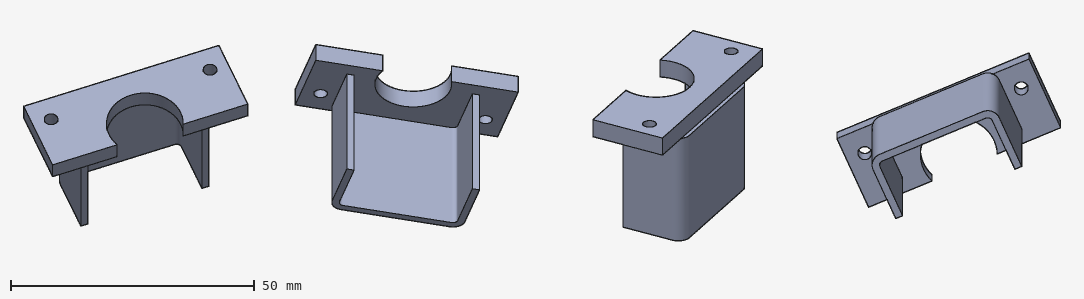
import cadquery as cq

plate_length = 43
plate_thickness = 4.0
total_height = 28.0
total_depth = 17.1
plate_setback = 0.85

housing_width = 28.2
housing_depth = 14.1
corner_radius = 2.6
wall = 1.55
inner_corner_radius = corner_radius - wall
housing_height = total_height - plate_thickness

bore_diameter = 15.75
bore_x = housing_depth
screw_diameter = 2.8
screw_spacing = 35.0
screw_x = 6.05


def rounded_back_block(back_x, width, radius):
    """Full-height housing block with its two back vertical edges rounded."""
    depth = housing_depth - back_x
    return (
        cq.Workplane("XY")
        .box(depth, width, housing_height, centered=(False, True, False))
        .translate((back_x, 0, 0))
        .edges("|Z and <X")
        .fillet(radius)
    )


outer_block = rounded_back_block(0, housing_width, corner_radius)
cavity = rounded_back_block(wall, housing_width - 2 * wall, inner_corner_radius)
housing = outer_block.cut(cavity)

plate = (
    cq.Workplane("XY", origin=(plate_setback, 0, housing_height))
    .box(total_depth - plate_setback, plate_length, plate_thickness, centered=(False, True, False))
)
bore = (
    cq.Workplane("XY", origin=(bore_x, 0, housing_height))
    .circle(bore_diameter / 2)
    .extrude(plate_thickness)
)
screw_holes = (
    cq.Workplane("XY", origin=(screw_x, 0, housing_height))
    .rarray(0.45, screw_spacing, 1, 2)
    .circle(screw_diameter / 2)
    .extrude(plate_thickness)
)

result = housing.union(plate.cut(bore).cut(screw_holes))